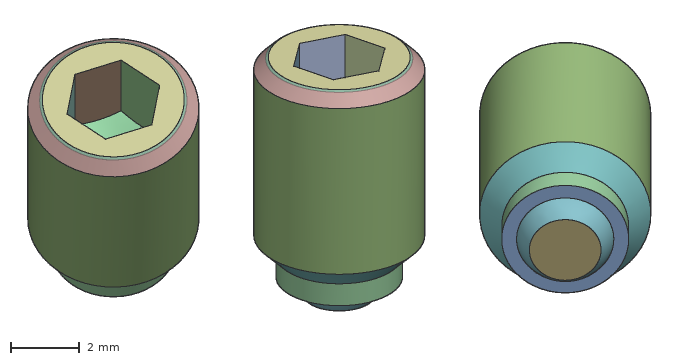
import cadquery as cq
import math

total_height = 7.8
screw_radius = 2.5

top_chamfer = 0.35
rim_chamfer_height = 0.05
rim_chamfer_width = 0.08

shoulder_chamfer = 0.65
neck_height = 0.72
neck_bottom = 0.59

hex_across_flats = 2.5
hex_depth = 2.495
drill_point_angle = 120.0

ball_radius = 1.5
flat_radius = 1.045

neck_radius = screw_radius - shoulder_chamfer
neck_top = neck_bottom + neck_height
shoulder_top = neck_top + shoulder_chamfer
rim_bottom = total_height - rim_chamfer_height
top_chamfer_radius = screw_radius - top_chamfer
rim_radius = top_chamfer_radius - rim_chamfer_width
hex_corner_radius = hex_across_flats / math.sqrt(3)
drill_point_height = hex_corner_radius / math.tan(math.radians(drill_point_angle / 2))
hex_bottom = total_height - hex_depth
drill_tip = hex_bottom - drill_point_height
ball_center = math.sqrt(ball_radius**2 - flat_radius**2)


def make_screw_blank():
    """Turned outside of the screw, revolved about Z."""
    profile = [
        (0, neck_bottom),
        (neck_radius, neck_bottom),
        (neck_radius, neck_top),
        (screw_radius, shoulder_top),
        (screw_radius, rim_bottom - top_chamfer),
        (top_chamfer_radius, rim_bottom),
        (rim_radius, total_height),
        (0, total_height),
    ]
    return cq.Workplane("XZ").polyline(profile).close().revolve(360, (0, 0), (0, 1))


def make_hex_socket():
    """Hexagonal prism with two corners on X, ended by a cone through its corners."""
    prism = (
        cq.Workplane("XY", origin=(0, 0, drill_tip))
        .polygon(6, 2 * hex_corner_radius)
        .extrude(total_height - drill_tip)
    )
    drill_envelope = (
        cq.Workplane("XZ")
        .polyline([
            (0, drill_tip),
            (hex_corner_radius, hex_bottom),
            (hex_corner_radius, total_height),
            (0, total_height),
        ])
        .close()
        .revolve(360, (0, 0), (0, 1))
    )
    return prism.intersect(drill_envelope)


def make_ball():
    """Sphere cut off flat at Z = 0."""
    profile = (
        cq.Workplane("XZ")
        .lineTo(flat_radius, 0)
        .threePointArc((ball_radius, ball_center), (0, ball_center + ball_radius))
        .close()
    )
    return profile.revolve(360, (0, 0), (0, 1))


ball = make_ball()
screw = make_screw_blank().cut(make_hex_socket()).cut(ball)

result = cq.Compound.makeCompound([screw.solids().val(), ball.val()])